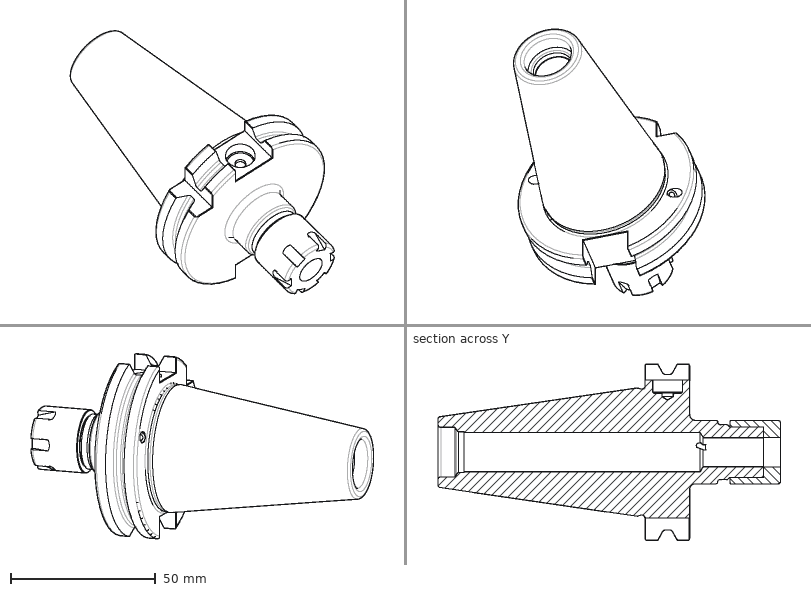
import cadquery as cq
import math

total_length = 118.6

taper_ratio = 7 / 24
gauge_x = 68.4
gauge_radius = 22.2
taper_end_x = 69.0
relief_radius = 22.0
relief_start_x = 70.1
relief_fillet = 0.7
shank_end_fillet = 1.0

flange_radius = 31.7
flange_start_x = 71.6
flange_end_x = 87.2
flange_fillet = 1.0
groove_x = 79.5
groove_depth = 3.5
groove_half_width = 3.4
groove_flank_angle = 30
groove_fillet = 1.1

drive_slot_width = 16.0
top_slot_floor_z = 25.0
bottom_slot_floor_z = -22.8
notch_offset = 18.5
slot_bevel = 0.2

pocket_radius = 5.1
pocket_depth = 4.6
pocket_bevel = 0.4
pilot_radius = 1.9
pilot_depth = 1.2
drill_half_angle = 59

neck_radius = 11.0
neck_fillet = 2.0
neck_end_x = 96.2
step_middle_x = 96.9
step_middle_radius = 10.3
step_end_x = 98.0
step_end_radius = 9.6
thread_end_x = 100.1
nose_radius = 8.9
nose_end_x = 112.7

bore_rim_fillet = 1.1
counterbore_radius = 8.5
counterbore_depth = 5.9
thread_mouth_x = 6.5
thread_mouth_radius = 7.6
thread_radius = 7.0
thread_depth = 9.1
core_radius = 6.8
core_end_x = 90.7
bore_radius = 5.0

coolant_angles = (20, 200)
coolant_tilt = 46
coolant_mouth_radius = 26.7
plug_radius = 1.9
plug_depth = 2.1
channel_radius = 1.1

nut_start_x = 101.0
nut_radius = 11.0
nut_back_bevel = 0.2
nut_front_fillet = 1.01
nut_slot_count = 6
nut_first_slot_angle = 90
nut_slot_width = 3.9
nut_slot_length = 7.2
nut_slot_end_depth = 2.4


def taper_radius(x):
    """Radius of the 7:24 taper at a distance x from its small end."""
    return gauge_radius + (x - gauge_x) * taper_ratio / 2


def revolve_about_x(profile):
    """Turn a closed profile, drawn as (x, radius), into a solid about the X axis."""
    return profile.close().revolve(360, (0, 0, 0), (1, 0, 0))


def turned_outside():
    """The holder as turned: taper, relief, plain flange, neck and nose."""
    shank = revolve_about_x(
        cq.Workplane("XZ")
        .lineTo(0, taper_radius(0))
        .lineTo(taper_end_x, taper_radius(taper_end_x))
        .lineTo(relief_start_x, relief_radius)
        .lineTo(flange_start_x - relief_fillet, relief_radius)
        .tangentArcPoint((flange_start_x, relief_radius + relief_fillet), relative=False)
        .lineTo(flange_start_x, 0)
    )
    shank = shank.faces("<X").edges().fillet(shank_end_fillet)

    flange = (
        cq.Workplane("YZ", origin=(flange_start_x, 0, 0))
        .circle(flange_radius)
        .extrude(flange_end_x - flange_start_x)
        .edges()
        .fillet(flange_fillet)
        .cut(v_groove())
    )

    nose_bevel = step_end_radius - nose_radius
    neck = revolve_about_x(
        cq.Workplane("XZ")
        .moveTo(flange_end_x, 0)
        .lineTo(flange_end_x, neck_radius + neck_fillet)
        .radiusArc((flange_end_x + neck_fillet, neck_radius), -neck_fillet)
        .lineTo(neck_end_x, neck_radius)
        .tangentArcPoint((step_middle_x, step_middle_radius), relative=False)
        .tangentArcPoint((step_end_x, step_end_radius), relative=False)
        .lineTo(thread_end_x, step_end_radius)
        .lineTo(thread_end_x + nose_bevel, nose_radius)
        .lineTo(nose_end_x, nose_radius)
        .lineTo(nose_end_x, 0)
    )
    return shank.union(flange).union(neck)


def v_groove():
    """Ring that cuts the V groove, with rounded bottom corners."""
    floor_radius = flange_radius - groove_depth
    flank_run = groove_depth * math.tan(math.radians(groove_flank_angle))
    floor_half_width = groove_half_width - flank_run
    ring = revolve_about_x(
        cq.Workplane("XZ")
        .moveTo(groove_x - groove_half_width, flange_radius)
        .lineTo(groove_x - floor_half_width, floor_radius)
        .lineTo(groove_x + floor_half_width, floor_radius)
        .lineTo(groove_x + groove_half_width, flange_radius)
    )
    on_floor = cq.selectors.RadiusNthSelector(0)
    return ring.edges(on_floor).fillet(groove_fillet)


def flange_slots():
    """Everything removed by the two drive slots and the corner notch, with their bevelled rims."""
    width = flange_end_x - flange_start_x
    reach = 2 * flange_radius

    def slot(y_min, y_max, z_min, z_max):
        return cq.Workplane("XY").box(width, y_max - y_min, z_max - z_min, centered=False).translate(
            (flange_start_x, y_min, z_min)
        )

    half_slot = drive_slot_width / 2
    disc = cq.Workplane("YZ", origin=(flange_start_x, 0, 0)).circle(flange_radius).extrude(width)
    slotted = (
        disc.cut(slot(-half_slot, half_slot, top_slot_floor_z, reach))
        .cut(slot(-half_slot, half_slot, -reach, bottom_slot_floor_z))
        .cut(slot(-reach, -notch_offset, notch_offset, reach))
    )

    def is_rim(edge):
        middle = edge.Center()
        on_end_face = min(middle.x - flange_start_x, flange_end_x - middle.x) < slot_bevel
        on_outside = math.hypot(middle.y, middle.z) > flange_radius - slot_bevel
        return on_end_face or on_outside

    rims = slotted.edges("%LINE").filter(is_rim)
    return disc.cut(rims.chamfer(slot_bevel))


def slot_pocket():
    """Round pocket in the top slot floor, bevelled at its bottom and ending in a drilled pilot hole."""
    pilot_end = pocket_depth + pilot_depth
    tip_end = pilot_end + pilot_radius / math.tan(math.radians(drill_half_angle))
    return (
        cq.Workplane("XZ")
        .lineTo(pocket_radius, 0)
        .lineTo(pocket_radius, pocket_bevel - pocket_depth)
        .lineTo(pocket_radius - pocket_bevel, -pocket_depth)
        .lineTo(pilot_radius, -pocket_depth)
        .lineTo(pilot_radius, -pilot_end)
        .lineTo(0, -tip_end)
        .close()
        .revolve(360, (0, 0, 0), (0, 1, 0))
        .translate((groove_x, 0, top_slot_floor_z))
    )


def stepped_bore():
    """Bore through the holder: rounded mouth, counterbore, threaded mouth, core and through hole."""
    thread_bevel = thread_mouth_radius - thread_radius
    cone_length = (core_radius - bore_radius) / math.tan(math.radians(drill_half_angle))
    return revolve_about_x(
        cq.Workplane("XZ")
        .lineTo(0, counterbore_radius + bore_rim_fillet)
        .radiusArc((bore_rim_fillet, counterbore_radius), -bore_rim_fillet)
        .lineTo(counterbore_depth, counterbore_radius)
        .lineTo(thread_mouth_x, thread_mouth_radius)
        .lineTo(thread_mouth_x + thread_bevel, thread_radius)
        .lineTo(thread_depth, thread_radius)
        .lineTo(thread_depth, core_radius)
        .lineTo(core_end_x, core_radius)
        .lineTo(core_end_x + cone_length, bore_radius)
        .lineTo(nose_end_x, bore_radius)
        .lineTo(nose_end_x, 0)
    )


def coolant_hole(angle):
    """Plug hole and channel that run from the flange face inward to the bore."""
    tilt = math.radians(coolant_tilt)
    direction = cq.Vector(math.cos(tilt), 0, -math.sin(tilt))
    mouth = cq.Vector(flange_start_x, 0, coolant_mouth_radius)
    lead_in = plug_radius * math.tan(tilt)
    start = mouth - direction * lead_in
    channel_length = (coolant_mouth_radius - bore_radius) / math.sin(tilt)
    plug = cq.Solid.makeCylinder(plug_radius, plug_depth + lead_in, start, direction)
    channel = cq.Solid.makeCylinder(channel_radius, channel_length, mouth, direction)
    hole = cq.Workplane(plug).union(cq.Workplane(channel))
    return hole.rotate((0, 0, 0), (1, 0, 0), angle - 90)


def make_holder():
    """The tool holder: turned body less its slots, pocket, bore and coolant holes."""
    holder = turned_outside().cut(flange_slots()).cut(slot_pocket()).cut(stepped_bore())
    for angle in coolant_angles:
        holder = holder.cut(coolant_hole(angle))
    return holder


def nut_slot(angle):
    """Wrench slot whose flat floor slopes from the nut surface down to its front face."""
    start_x = total_length - nut_slot_length
    wedge = (
        cq.Workplane("XZ", origin=(0, nut_slot_width / 2, 0))
        .moveTo(start_x, nut_radius)
        .lineTo(total_length, nut_radius - nut_slot_end_depth)
        .lineTo(total_length, nut_radius)
        .close()
        .extrude(nut_slot_width)
    )
    return wedge.rotate((0, 0, 0), (1, 0, 0), angle)


def make_nut():
    """The clamping nut, recessed at the back to take the nose of the holder."""
    nut = (
        cq.Workplane("YZ", origin=(nut_start_x, 0, 0))
        .circle(nut_radius)
        .extrude(total_length - nut_start_x)
    )
    nut = nut.faces(">X").edges().fillet(nut_front_fillet)
    nut = nut.faces("<X").edges().chamfer(nut_back_bevel)
    for index in range(nut_slot_count):
        nut = nut.cut(nut_slot(nut_first_slot_angle + index * 360 / nut_slot_count))
    nose_recess = (
        cq.Workplane("YZ", origin=(nut_start_x, 0, 0))
        .circle(nose_radius)
        .extrude(nose_end_x - nut_start_x)
    )
    opening = (
        cq.Workplane("YZ", origin=(nose_end_x, 0, 0))
        .circle(bore_radius)
        .extrude(total_length - nose_end_x)
    )
    return nut.cut(nose_recess).cut(opening)


holder = make_holder()
nut = make_nut()
result = cq.Compound.makeCompound([holder.solids().val(), nut.solids().val()])